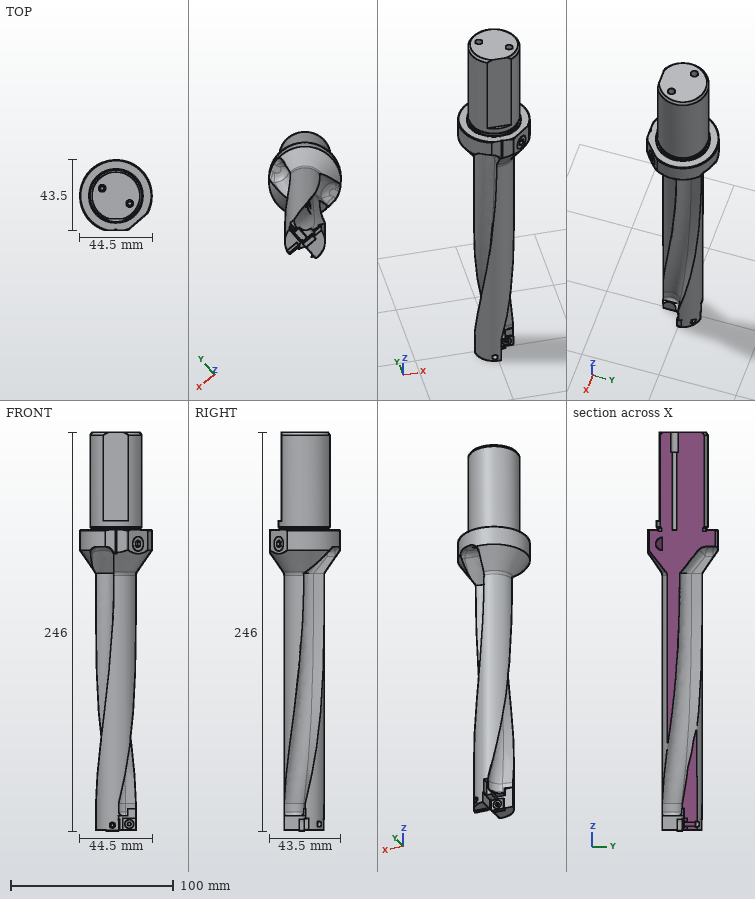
import cadquery as cq
import math

TOTAL_LENGTH = 246.0
BODY_BOTTOM = 0.5
DRILL_TOP = 158.8
FLANGE_BOTTOM = 173.0
FLANGE_TOP = 185.6
GROOVE_TOP = 187.5

DRILL_RADIUS = 12.42
FLANGE_RADIUS = 22.25
SHANK_RADIUS = 16.0
GROOVE_RADIUS = 15.2
RELIEF_RADIUS = 16.7
RELIEF_DEPTH = 0.7
SHANK_CHAMFER_HEIGHT = 1.7
SHANK_CHAMFER_WIDTH = 1.2
FLANGE_CHAMFER = 0.5
NECK_BLEND_RADIUS = 3.7

EDGE_TOLERANCE = 0.2

SHANK_FLAT_DISTANCE = 14.0
SHANK_FLAT_BOTTOM = 191.3
FRONT_FLAT_DISTANCE = 21.27
PLUG_FLAT_DISTANCE = 20.78
PLUG_FLAT_ANGLE = -49.0
MARK_GROOVE_WIDTH = 1.0
MARK_GROOVE_DEPTH = 0.5

COOLANT_RADIUS = 1.2
COOLANT_MOUTH_RADIUS = 2.2
COOLANT_MOUTH_DEPTH = 12.3
COOLANT_X = 8.48
COOLANT_Y = 4.7

FLUTE_WALL = 1.2
FLUTE_CENTRE_Y = -5.7
FLUTE_RADIUS = 7.1
FLUTE_ARC_END = 150.0
FLUTE_REACH = 29.5
FLUTE_BOTTOM = 17.2
FLUTE_TURN = 81.0
FLUTE_SECTIONS = 9
GULLET_BOTTOM = 9.3
GULLET_FILLET = 2.5
RUNOUT_TOP = 175.3
RUNOUT_SLOPE = 0.8
RUNOUT_FILLET = 6.0

INSERT_WIDTH = 8.4
INSERT_HEIGHT = 7.1
INSERT_THICKNESS = 3.0
INSERT_CORNER_RADIUS = 0.7
OUTER_INSERT_X = DRILL_RADIUS - INSERT_WIDTH / 2
OUTER_INSERT_BOTTOM = 0.7
INNER_INSERT_X = -2.2
SEAT_WALL = 1.7
SEAT_FLOOR = 1.0
SEAT_RIM = 7.1
SEAT_RIM_TOP = 13.8
CENTRE_CLEARANCE = 0.2
CENTRE_RIM = 7.9
CENTRE_RIM_TOP = 16.0
CENTRE_RIM_STEP = 0.7

SCREW_HEAD_RADIUS = 2.7
SCREW_HEAD_HEIGHT = 2.0
SCREW_RADIUS = 1.1
SCREW_LENGTH = 8.4
SCREW_EXIT_RADIUS = 1.7
SCREW_SOCKET_WIDTH = 2.5
SCREW_SOCKET_DEPTH = 1.0

PLUG_RADIUS = 4.5
PLUG_LENGTH = 6.1
PLUG_HEIGHT = 177.0
PLUG_SOCKET_WIDTH = 4.5
PLUG_SOCKET_DEPTH = 2.5


def box_between(low, high):
    size = [b - a for a, b in zip(low, high)]
    return cq.Workplane("XY").box(*size, centered=False).translate(low)


def half_turn(shape):
    return shape.rotate((0, 0, 0), (0, 0, 1), 180)


def turned_blank():
    neck_length = GROOVE_TOP - FLANGE_TOP
    blank = (
        cq.Workplane("XZ")
        .moveTo(0, BODY_BOTTOM)
        .lineTo(DRILL_RADIUS, BODY_BOTTOM)
        .lineTo(DRILL_RADIUS, DRILL_TOP)
        .lineTo(FLANGE_RADIUS, FLANGE_BOTTOM)
        .lineTo(FLANGE_RADIUS, FLANGE_TOP - FLANGE_CHAMFER)
        .lineTo(FLANGE_RADIUS - FLANGE_CHAMFER, FLANGE_TOP)
        .lineTo(RELIEF_RADIUS, FLANGE_TOP)
        .lineTo(RELIEF_RADIUS, FLANGE_TOP - RELIEF_DEPTH)
        .lineTo(GROOVE_RADIUS, FLANGE_TOP - RELIEF_DEPTH)
        .lineTo(GROOVE_RADIUS, FLANGE_TOP + neck_length / 2)
        .lineTo(SHANK_RADIUS, GROOVE_TOP)
        .lineTo(SHANK_RADIUS, TOTAL_LENGTH - SHANK_CHAMFER_HEIGHT)
        .lineTo(SHANK_RADIUS - SHANK_CHAMFER_WIDTH, TOTAL_LENGTH)
        .lineTo(0, TOTAL_LENGTH)
        .close()
        .revolve(360, (0, 0, 0), (0, 1, 0))
    )
    neck_edge = cq.selectors.BoxSelector(
        (-FLANGE_RADIUS, -FLANGE_RADIUS, DRILL_TOP - EDGE_TOLERANCE),
        (FLANGE_RADIUS, FLANGE_RADIUS, DRILL_TOP + EDGE_TOLERANCE),
    )
    return blank.edges(neck_edge).fillet(NECK_BLEND_RADIUS)


def cut_flats(body):
    far = 2 * FLANGE_RADIUS
    shank_flat = box_between(
        (-far, -far, SHANK_FLAT_BOTTOM), (far, -SHANK_FLAT_DISTANCE, TOTAL_LENGTH)
    )
    front_flat = box_between((-far, -far, DRILL_TOP), (far, -FRONT_FLAT_DISTANCE, FLANGE_TOP))
    plug_flat = box_between(
        (PLUG_FLAT_DISTANCE, -far, DRILL_TOP), (far, far, FLANGE_TOP)
    ).rotate((0, 0, 0), (0, 0, 1), PLUG_FLAT_ANGLE)
    mark = box_between(
        (-MARK_GROOVE_WIDTH / 2, -far, DRILL_TOP),
        (MARK_GROOVE_WIDTH / 2, MARK_GROOVE_DEPTH - FRONT_FLAT_DISTANCE, FLANGE_TOP),
    )
    return body.cut(shank_flat).cut(front_flat).cut(plug_flat).cut(mark)


def cut_coolant_holes(body):
    return (
        body.faces(">Z")
        .workplane(origin=(0, 0, TOTAL_LENGTH))
        .pushPoints([(-COOLANT_X, COOLANT_Y), (COOLANT_X, -COOLANT_Y)])
        .cboreHole(
            2 * COOLANT_RADIUS,
            2 * COOLANT_MOUTH_RADIUS,
            COOLANT_MOUTH_DEPTH,
            TOTAL_LENGTH - FLANGE_TOP,
        )
    )


def flute_turn(height):
    """Clockwise turn in degrees: it grows with the square of the distance from the drill top."""
    return FLUTE_TURN * ((DRILL_TOP - height) / (DRILL_TOP - FLUTE_BOTTOM)) ** 2


def flute_section(height):
    """Closed section with its wall on the -X side of the axis at the drill top."""
    centre_x = -FLUTE_WALL - FLUTE_RADIUS

    def on_arc(degrees):
        angle = math.radians(degrees)
        return (
            centre_x + FLUTE_RADIUS * math.cos(angle),
            FLUTE_CENTRE_Y + FLUTE_RADIUS * math.sin(angle),
        )

    end_x, end_y = on_arc(FLUTE_ARC_END)
    tangent_run = (end_y + FLUTE_REACH) / math.tan(math.radians(FLUTE_ARC_END - 90))
    wire = (
        cq.Workplane("XY")
        .moveTo(-FLUTE_WALL, -FLUTE_REACH)
        .lineTo(-FLUTE_WALL, FLUTE_CENTRE_Y)
        .threePointArc(on_arc(FLUTE_ARC_END / 2), (end_x, end_y))
        .lineTo(end_x - tangent_run, -FLUTE_REACH)
        .close()
        .val()
    )
    turned = wire.rotate(cq.Vector(0, 0, 0), cq.Vector(0, 0, 1), -flute_turn(height))
    return turned.translate(cq.Vector(0, 0, height))


def flute_cutters():
    """Twisted flute, the straight gullet below it and the sloping run-out into the flange."""
    step = (DRILL_TOP - FLUTE_BOTTOM) / (FLUTE_SECTIONS - 1)
    sections = [flute_section(FLUTE_BOTTOM + i * step) for i in range(FLUTE_SECTIONS)]
    helix = cq.Workplane(cq.Solid.makeLoft(sections))

    gullet_depth = FLUTE_BOTTOM - GULLET_BOTTOM
    gullet = cq.Workplane(
        cq.Solid.extrudeLinear(sections[0], [], cq.Vector(0, 0, -gullet_depth))
    )
    gullet = gullet.faces("<Z").edges("%CIRCLE").fillet(GULLET_FILLET)

    rise = RUNOUT_TOP - DRILL_TOP
    runout = cq.Workplane(
        cq.Solid.extrudeLinear(sections[-1], [], cq.Vector(0, -RUNOUT_SLOPE * rise, rise))
    )
    runout = runout.faces(">Z").edges("%CIRCLE").fillet(RUNOUT_FILLET)
    return [helix, gullet, runout]


def insert_seat():
    """Open space in front of the outer insert, higher near the rim than by the axis."""
    inner = box_between((SEAT_WALL, -FLUTE_REACH, 0), (FLUTE_REACH, SEAT_FLOOR, GULLET_BOTTOM))
    rim = box_between((SEAT_RIM, -FLUTE_REACH, 0), (FLUTE_REACH, SEAT_FLOOR, SEAT_RIM_TOP))
    return inner.union(rim)


def centre_clearance():
    """Space in front of the inner insert where it reaches past the drill axis."""
    end = INNER_INSERT_X + INSERT_WIDTH / 2 + CENTRE_CLEARANCE
    inner = box_between((-FLUTE_REACH, 0, 0), (end, FLUTE_REACH, INSERT_HEIGHT))
    rim_end = end - CENTRE_RIM_STEP
    rim = box_between((-FLUTE_REACH, CENTRE_RIM, 0), (rim_end, FLUTE_REACH, CENTRE_RIM_TOP))
    return inner.union(rim)


def insert_pocket():
    """Square-cornered block around an insert, cutting face on Y = 0 and lower side on Z = 0."""
    return cq.Workplane("XY").box(
        INSERT_WIDTH, INSERT_THICKNESS, INSERT_HEIGHT, centered=(True, False, False)
    )


def screw_blank():
    """Countersunk screw along +Y, its head flush with Y = 0, at the middle of an insert."""
    return (
        cq.Workplane("XY")
        .lineTo(SCREW_HEAD_RADIUS, 0)
        .lineTo(SCREW_RADIUS, SCREW_HEAD_HEIGHT)
        .lineTo(SCREW_RADIUS, SCREW_LENGTH)
        .lineTo(0, SCREW_LENGTH)
        .close()
        .revolve(360, (0, 0, 0), (0, 1, 0))
        .translate((0, 0, INSERT_HEIGHT / 2))
    )


def cutting_insert():
    blank = insert_pocket().edges("|Y").fillet(INSERT_CORNER_RADIUS)
    return blank.cut(screw_blank())


def insert_screw():
    socket = (
        cq.Workplane("XZ", origin=(0, 0, INSERT_HEIGHT / 2))
        .polygon(6, SCREW_SOCKET_WIDTH)
        .extrude(-SCREW_SOCKET_DEPTH)
    )
    return screw_blank().cut(socket)


def screw_exit():
    return (
        cq.Workplane("XZ", origin=(0, SCREW_LENGTH, INSERT_HEIGHT / 2))
        .circle(SCREW_EXIT_RADIUS)
        .extrude(-DRILL_RADIUS)
    )


def at_outer_place(shape):
    return shape.translate((OUTER_INSERT_X, 0, OUTER_INSERT_BOTTOM))


def at_inner_place(shape):
    return half_turn(shape).translate((INNER_INSERT_X, 0, 0))


INSERT_PLACES = [at_outer_place, at_inner_place]


def on_plug_flat(shape):
    """Moves a shape built along -X from X = 0 onto the slanted flat."""
    placed = shape.translate((PLUG_FLAT_DISTANCE, 0, PLUG_HEIGHT))
    return placed.rotate((0, 0, 0), (0, 0, 1), PLUG_FLAT_ANGLE)


def plug_blank():
    return cq.Workplane("YZ").circle(PLUG_RADIUS).extrude(-PLUG_LENGTH)


def coolant_plug():
    socket = cq.Workplane("YZ").polygon(6, PLUG_SOCKET_WIDTH).extrude(-PLUG_SOCKET_DEPTH)
    return on_plug_flat(plug_blank().cut(socket.rotate((0, 0, 0), (1, 0, 0), 90)))


def drill_body():
    body = cut_coolant_holes(cut_flats(turned_blank()))
    for cutter in [*flute_cutters(), insert_seat()]:
        body = body.cut(cutter).cut(half_turn(cutter))
    body = body.cut(centre_clearance())
    for place in INSERT_PLACES:
        for cutter in [insert_pocket(), screw_blank(), screw_exit()]:
            body = body.cut(place(cutter))
    return body.cut(on_plug_flat(plug_blank()))


body = drill_body()
inserts = [place(cutting_insert()) for place in INSERT_PLACES]
screws = [place(insert_screw()) for place in INSERT_PLACES]
plug = coolant_plug()

result = cq.Compound.makeCompound(
    [
        body.val(),
        *[insert.val() for insert in inserts],
        *[screw.val() for screw in screws],
        plug.val(),
    ]
)